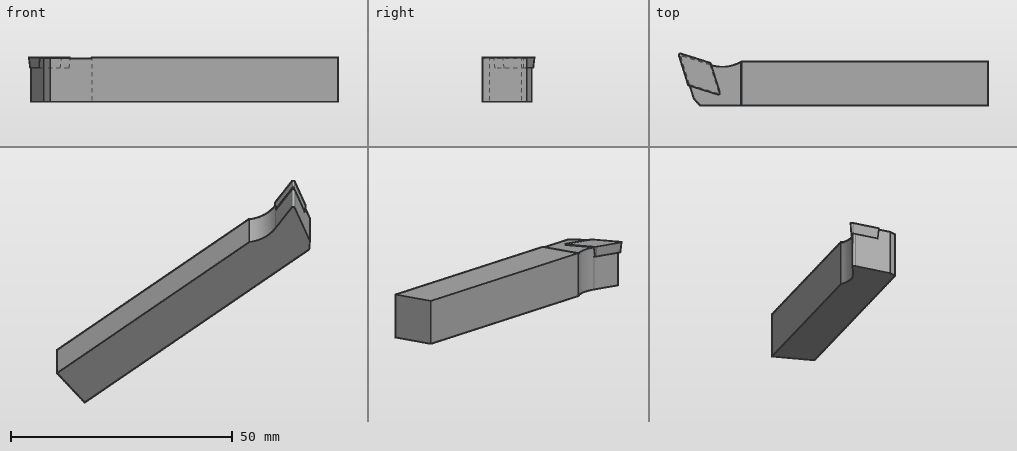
import cadquery as cq
import math


TOOL_LENGTH = 70.0
SHANK_SIZE = 10.0

TIP_OFFSET = 12.0
INSERT_ANGLE = 55.0
INSCRIBED_DIAMETER = 6.35
INSERT_THICKNESS = 2.38
NOSE_RADIUS = 0.4
RELIEF_ANGLE = 7.0
EDGE_LENGTH = INSCRIBED_DIAMETER / math.sin(math.radians(INSERT_ANGLE))

LEAN = math.radians((90.0 - INSERT_ANGLE) / 2)
LEAN_SLOPE = math.tan(LEAN)

END_SETBACK = INSERT_THICKNESS * math.tan(math.radians(RELIEF_ANGLE)) / math.cos(LEAN)
SIDE_SETBACK = 0.45
HEAD_NOSE_RADIUS = 0.4
HEEL_CHAMFER_X = 5.05
HEEL_CHAMFER_Y = 1.6
HOLLOW_START_X = 7.5

HEAD_LENGTH = 14.4
DECK_DROP = 0.2


def end_face_x(y):
    return END_SETBACK + (TIP_OFFSET - y) * LEAN_SLOPE


def side_face_y(x):
    return TIP_OFFSET - SIDE_SETBACK - x * LEAN_SLOPE


def make_insert():
    """Rounded diamond, flush with the shank top and tapering in towards its bottom."""
    long_leg = EDGE_LENGTH * math.cos(LEAN)
    short_leg = EDGE_LENGTH * math.sin(LEAN)
    corners = [
        (0, TIP_OFFSET),
        (long_leg, TIP_OFFSET - short_leg),
        (long_leg + short_leg, TIP_OFFSET - short_leg - long_leg),
        (short_leg, TIP_OFFSET - long_leg),
    ]
    top_sketch = cq.Sketch().polygon(corners + corners[:1]).vertices().fillet(NOSE_RADIUS)
    return (
        cq.Workplane("XY")
        .workplane(offset=SHANK_SIZE)
        .placeSketch(top_sketch)
        .extrude(-INSERT_THICKNESS, taper=RELIEF_ANGLE)
    )


def make_blank():
    """Full-height shank and head, with a hollow arc between the side face and the shank."""
    nose_x = (END_SETBACK + SIDE_SETBACK * LEAN_SLOPE) / (1 - LEAN_SLOPE**2)
    nose = (nose_x, side_face_y(nose_x))

    return (
        cq.Workplane("XY")
        .moveTo(HEEL_CHAMFER_X, 0)
        .lineTo(end_face_x(HEEL_CHAMFER_Y), HEEL_CHAMFER_Y)
        .lineTo(*nose)
        .lineTo(HOLLOW_START_X, side_face_y(HOLLOW_START_X))
        .tangentArcPoint((HEAD_LENGTH, SHANK_SIZE), relative=False)
        .lineTo(TOOL_LENGTH, SHANK_SIZE)
        .lineTo(TOOL_LENGTH, 0)
        .close()
        .extrude(SHANK_SIZE)
        .edges("|Z")
        .edges(cq.selectors.NearestToPointSelector((*nose, SHANK_SIZE / 2)))
        .fillet(HEAD_NOSE_RADIUS)
    )


def make_deck_cut():
    deck_z = SHANK_SIZE - DECK_DROP
    return (
        cq.Workplane("XZ")
        .polyline([
            (0, deck_z),
            (HEAD_LENGTH - DECK_DROP, deck_z),
            (HEAD_LENGTH, SHANK_SIZE),
            (0, SHANK_SIZE),
        ])
        .close()
        .extrude(-TIP_OFFSET)
    )


insert = make_insert()
holder = make_blank().cut(make_deck_cut()).cut(insert)

result = cq.Compound.makeCompound([holder.val(), insert.val()])